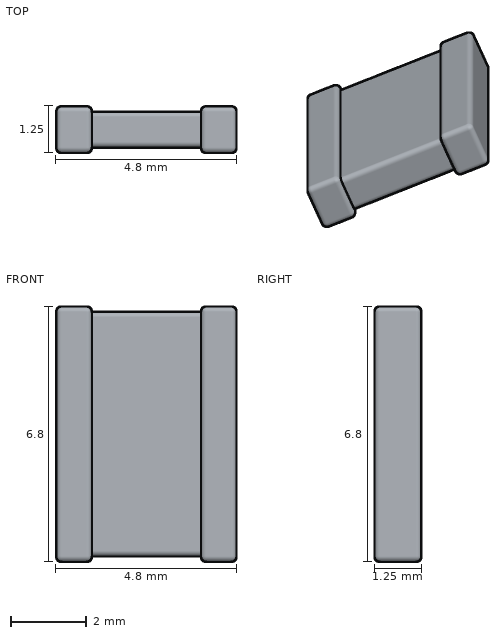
import cadquery as cq

overall_length = 4.8
cap_depth = 1.25
cap_height = 6.8

cap_width = 0.95
edge_radius = 0.14
body_inset = 0.14

body_length = overall_length - 2 * cap_width
body_depth = cap_depth - 2 * body_inset
body_height = cap_height - 2 * body_inset
cap_offset = (overall_length - cap_width) / 2


def make_body():
    """Flat block between the caps, rounded along its four long X edges."""
    block = cq.Workplane("XY").box(body_length, body_depth, body_height)
    return block.edges("|X").fillet(edge_radius)


def make_end_cap(center_x):
    """Upright terminal block with every edge rounded, centred at center_x."""
    block = cq.Workplane("XY").box(cap_width, cap_depth, cap_height)
    return block.edges().fillet(edge_radius).translate((center_x, 0, 0))


body = make_body()
end_caps = [make_end_cap(side * cap_offset) for side in (-1, 1)]

result = cq.Compound.makeCompound([body.val(), *[cap.val() for cap in end_caps]])